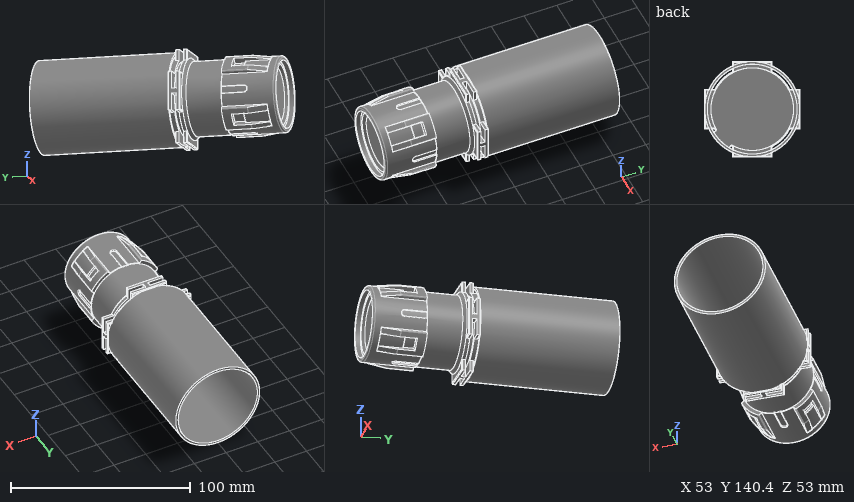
import cadquery as cq


total_length = 140.4
nut_length = 31.1
neck_end = 51.4
flange_front = 53.4
flange_thickness = 7.0
flange_back = flange_front + flange_thickness

tube_radius = 26.5
tube_wall = 1.5
tube_inner_radius = tube_radius - tube_wall

neck_radius = 21.1
core_radius = 23.0
core_tail = 10.0
core_back = flange_back + core_tail

tab_width = 22.0
tab_chamfer = 0.5
groove_width = 2.5
web_width = 3.0

nut_radius = 21.5
nut_round = 1.0
mouth_radius = 19.0
mouth_depth = 3.0
seat_radius = 17.3
floor_radius = 15.6
floor_depth = mouth_depth + seat_radius - floor_radius

keyway_width = 4.0
keyway_front = 16.2
keyway_floor_radius = 20.5

pad_radius = 23.5
pad_front_radius = 21.8
pad_root_radius = 20.5
pad_width = 14.5
pad_front = 5.0
pad_taper_end = 16.0
pad_round = 0.4
window_width = 7.5
window_end = 25.8
pocket_front = 19.4
pocket_radius = 20.0
latch_radius = 21.3

lug_width = 12.0
lug_angle = -45.0

cutter_reach = 2 * tube_radius

quarter_angles = [0, 90, 180, 270]
diagonal_angles = [45, 135, 225, 315]


def revolve_about_y(points):
    """Revolve a closed outline of (radius, y) points about the Y axis."""
    return cq.Workplane("XY").polyline(points).close().revolve(360, (0, 0), (0, 1))


def disc(radius, y_start, y_end):
    return revolve_about_y([(0, y_start), (radius, y_start), (radius, y_end), (0, y_end)])


def radial_bar(width, y_start, y_end, reach):
    """Box pointing along +X from the axis, centred on Z = 0."""
    bar = cq.Workplane("XY").box(reach, y_end - y_start, width, centered=(False, False, True))
    return bar.translate((0, y_start, 0))


def turned(shape, angle):
    """Turn a shape about the Y axis, from +X towards +Z."""
    return shape.rotate((0, 0, 0), (0, 1, 0), -angle)


def make_body():
    outline = [
        (0, 0),
        (nut_radius, 0),
        (nut_radius, nut_length),
        (neck_radius, nut_length),
        (neck_radius, neck_end),
        (core_radius, flange_front),
        (core_radius, core_back),
        (0, core_back),
    ]
    body = revolve_about_y(outline)
    return body.faces("<Y").edges().fillet(nut_round)


def make_mouth():
    return revolve_about_y([
        (0, 0),
        (mouth_radius, 0),
        (mouth_radius, mouth_depth),
        (seat_radius, mouth_depth),
        (floor_radius, floor_depth),
        (0, floor_depth),
    ])


def make_tube():
    outer = disc(tube_radius, flange_back, total_length)
    return outer.cut(disc(tube_inner_radius, flange_back, total_length))


def make_tab():
    tab = radial_bar(tab_width, flange_front, flange_back, tube_radius)
    return tab.faces("<Y or >Y").edges(">X or <Z or >Z").chamfer(tab_chamfer)


def make_flange_groove():
    groove_front = flange_front + (flange_thickness - groove_width) / 2
    groove_back = groove_front + groove_width
    groove = disc(cutter_reach, groove_front, groove_back).cut(disc(neck_radius, groove_front, groove_back))
    for angle in quarter_angles:
        groove = groove.cut(turned(radial_bar(web_width, groove_front, groove_back, cutter_reach), angle))
    return groove


def make_lug():
    ramp_rise = tube_inner_radius - neck_radius
    lug = revolve_about_y([
        (neck_radius, flange_back),
        (tube_inner_radius, flange_back + ramp_rise),
        (tube_inner_radius, core_back),
        (neck_radius, core_back),
    ])
    return lug.intersect(turned(radial_bar(lug_width, 0, total_length, tube_radius), lug_angle))


def make_keyway():
    slot_radius = keyway_width / 2
    slot = radial_bar(keyway_width, keyway_front + slot_radius, nut_length, tube_radius)
    end = cq.Workplane("YZ").center(keyway_front + slot_radius, 0).circle(slot_radius).extrude(tube_radius)
    return slot.union(end).cut(disc(keyway_floor_radius, 0, total_length))


def make_pad():
    pad = revolve_about_y([
        (pad_root_radius, pad_front),
        (pad_front_radius, pad_front),
        (pad_radius, pad_taper_end),
        (pad_radius, nut_length),
        (pad_root_radius, nut_length),
    ])
    pad = pad.intersect(radial_bar(pad_width, 0, total_length, cutter_reach))
    shoulder = cq.selectors.BoxSelector(
        (nut_radius, pad_front + pad_round, -pad_width),
        (pad_radius, nut_length - pad_round, pad_width),
    )
    return pad.faces("<Z or >Z").edges(shoulder).fillet(pad_round)


def make_window():
    window = radial_bar(window_width, pad_front, window_end, tube_radius)
    latch = disc(latch_radius, 0, pocket_front).union(disc(pocket_radius, pocket_front, total_length))
    return window.cut(latch)


result = make_body()
for angle in quarter_angles:
    result = result.cut(turned(make_keyway(), angle))
    result = result.union(turned(make_tab(), angle))
for angle in diagonal_angles:
    result = result.union(turned(make_pad(), angle))
    result = result.cut(turned(make_window(), angle))
result = result.cut(make_flange_groove())
result = result.cut(make_mouth())
result = result.union(make_lug())
result = result.union(make_tube())